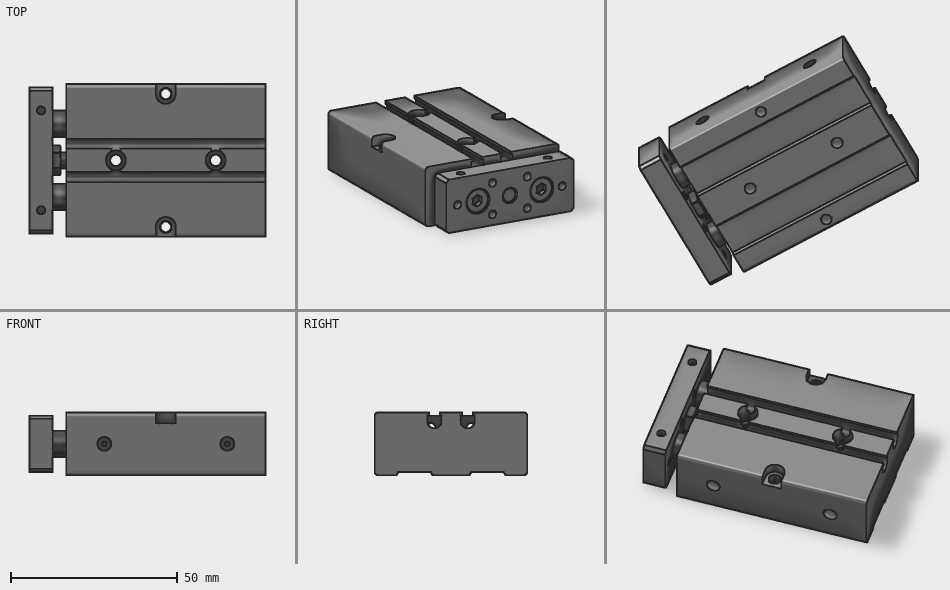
import cadquery as cq
import math


plate_thickness = 7.0
plate_width = 44.0
plate_height = 17.0
plate_chamfer = 1.0
stroke_gap = 4.0

housing_length = 60.0
housing_width = 46.0
housing_height = 19.0
housing_edge_radius = 1.2

housing_start = plate_thickness + stroke_gap
housing_middle = housing_start + housing_length / 2
axis_height = housing_height / 2
half_width = housing_width / 2

slot_offset = 5.0
slot_mouth_width = 3.15
slot_lip_height = 0.9
slot_width = 4.2
slot_wall_depth = 2.3
slot_depth = 4.8

channel_depth = 1.0
channel_inner_edge = 5.5
channel_outer_edge = 16.4
channel_side_run = 0.6

counterbore_diameter = 6.0
center_hole_diameter = 3.4
center_counterbore_depth = 7.0
center_hole_spacing = 30.0
center_notch_width = 2.6
side_hole_diameter = 3.2
side_hole_upper_diameter = 3.7
side_counterbore_depth = 3.3
side_hole_offset = 20.0

port_offset = 11.5
port_diameter = 4.2
port_depth = 4.0
port_passage_diameter = 1.5
port_passage_depth = 6.0

guide_rod_diameter = 8.0
guide_rod_offset = 11.0
piston_rod_diameter = 5.0
nut_across_flats = 8.0
nut_turned_diameter = 9.1
nut_thickness = 2.4
nut_chamfer_length = 0.35

rod_end_recess_depth = 0.4
hex_socket_corner_diameter = 3.7
hex_socket_depth = 2.0
tap_diameter = 2.5
face_tap_y = 6.0
face_tap_z = 5.0
end_tap_y = 18.0
top_tap_y = 15.0
top_tap_depth = 5.0


def cylinder_along_x(diameter, length, start_x, center_y, center_z):
    """Solid cylinder running towards +X from start_x."""
    return (
        cq.Workplane("YZ", origin=(start_x, center_y, center_z))
        .circle(diameter / 2)
        .extrude(length)
    )


def cylinder_down(diameter, depth, center_x, center_y, top_z):
    """Solid cylinder running towards -Z from top_z."""
    return (
        cq.Workplane("XY", origin=(center_x, center_y, top_z))
        .circle(diameter / 2)
        .extrude(-depth)
    )


def hexagon_along_x(corner_diameter, length, start_x, center_y, corner_angle):
    """Hexagonal prism on the rod axis height; corner_angle is measured from +Y."""
    radius = corner_diameter / 2
    corners = []
    for index in range(6):
        angle = math.radians(corner_angle + 60 * index)
        corners.append((radius * math.cos(angle), radius * math.sin(angle)))
    return (
        cq.Workplane("YZ", origin=(start_x, center_y, axis_height))
        .polyline(corners)
        .close()
        .extrude(length)
    )



def sensor_slot(center_y):
    """Lipped slot with a rounded floor, running the full length of the housing."""
    half_mouth = slot_mouth_width / 2
    half_slot = slot_width / 2
    return (
        cq.Workplane("YZ", origin=(housing_start, center_y, housing_height))
        .moveTo(-half_mouth, 0)
        .lineTo(-half_mouth, -slot_lip_height)
        .lineTo(-half_slot, -slot_lip_height)
        .lineTo(-half_slot, -slot_wall_depth)
        .threePointArc((0, -slot_depth), (half_slot, -slot_wall_depth))
        .lineTo(half_slot, -slot_lip_height)
        .lineTo(half_mouth, -slot_lip_height)
        .lineTo(half_mouth, 0)
        .close()
        .extrude(housing_length)
    )


def bottom_channel(side):
    """Shallow channel with sloping sides; side is +1 or -1 along Y."""
    return (
        cq.Workplane("YZ", origin=(housing_start, 0, 0))
        .moveTo(side * channel_inner_edge, 0)
        .lineTo(side * (channel_inner_edge + channel_side_run), channel_depth)
        .lineTo(side * (channel_outer_edge - channel_side_run), channel_depth)
        .lineTo(side * channel_outer_edge, 0)
        .close()
        .extrude(housing_length)
    )


def counterbored_hole(hole_diameter, counterbore_depth, center_x, center_y):
    """Through hole with a flat counterbore at the housing top."""
    hole = cylinder_down(hole_diameter, housing_height, center_x, center_y, housing_height)
    counterbore = cylinder_down(
        counterbore_diameter, counterbore_depth, center_x, center_y, housing_height
    )
    return hole.union(counterbore)


def center_hole(center_x):
    """Counterbored hole on the center line, with a notch through the slot lips beside it."""
    hole = counterbored_hole(center_hole_diameter, center_counterbore_depth, center_x, 0)
    notch_length = 2 * slot_offset - slot_mouth_width
    notch = (
        cq.Workplane("XY", origin=(center_x, 0, housing_height))
        .rect(center_notch_width, notch_length)
        .extrude(-slot_wall_depth)
    )
    return hole.union(notch)


def side_hole(side):
    """Counterbored hole with a slightly wider upper half, open to the side of the housing."""
    center_y = side * side_hole_offset
    hole = counterbored_hole(side_hole_diameter, side_counterbore_depth, housing_middle, center_y)

    run_out = half_width - side_hole_offset
    opening = (
        cq.Workplane("XY", origin=(housing_middle, center_y + side * run_out / 2, housing_height))
        .rect(counterbore_diameter, run_out)
        .extrude(-side_counterbore_depth)
    )

    upper_bore = cylinder_down(
        side_hole_upper_diameter, housing_height / 2, housing_middle, center_y, housing_height
    )
    return hole.union(upper_bore).union(opening)


def air_port(center_x):
    """Port with a narrow passage at its floor, entering from the -Y side."""
    face = cq.Workplane("XZ", origin=(center_x, -half_width, axis_height))
    port = face.circle(port_diameter / 2).extrude(-port_depth)
    passage = face.circle(port_passage_diameter / 2).extrude(-port_passage_depth)
    return port.union(passage)


def make_housing():
    body = (
        cq.Workplane("YZ", origin=(housing_start, 0, axis_height))
        .rect(housing_width, housing_height)
        .extrude(housing_length)
        .edges("|X")
        .fillet(housing_edge_radius)
    )
    for side in (-1, 1):
        body = body.cut(sensor_slot(side * slot_offset))
        body = body.cut(bottom_channel(side))
        body = body.cut(side_hole(side))
        body = body.cut(center_hole(housing_middle + side * center_hole_spacing / 2))
    for port_x in (housing_start + port_offset, housing_start + housing_length - port_offset):
        body = body.cut(air_port(port_x))
    return body



def rod_end_recess(diameter, center_y):
    """Shallow 45 degree conical recess marking a rod end in the plate's outer face."""
    cone = cq.Solid.makeCone(
        diameter / 2,
        diameter / 2 - rod_end_recess_depth,
        rod_end_recess_depth,
        pnt=cq.Vector(0, center_y, axis_height),
        dir=cq.Vector(1, 0, 0),
    )
    return cq.Workplane(obj=cone)


def lock_nut():
    """Hexagonal nut with turned-down corners, chamfered on the housing side."""
    corner_diameter = nut_across_flats / math.cos(math.radians(30))
    hexagon = hexagon_along_x(corner_diameter, nut_thickness, plate_thickness, 0, 0)
    turned_blank = (
        cylinder_along_x(nut_turned_diameter, nut_thickness, plate_thickness, 0, axis_height)
        .faces(">X")
        .chamfer(nut_chamfer_length, (nut_turned_diameter - nut_across_flats) / 2)
    )
    return hexagon.intersect(turned_blank)


def make_moving_end():
    body = (
        cq.Workplane("YZ", origin=(0, 0, axis_height))
        .rect(plate_width, plate_height)
        .extrude(plate_thickness)
        .edges("|X")
        .chamfer(plate_chamfer)
    )
    plate_top = axis_height + plate_height / 2

    body = body.union(
        cylinder_along_x(piston_rod_diameter, stroke_gap, plate_thickness, 0, axis_height)
    )
    body = body.union(lock_nut())
    body = body.cut(rod_end_recess(piston_rod_diameter, 0))

    for side in (-1, 1):
        rod_y = side * guide_rod_offset
        body = body.union(
            cylinder_along_x(guide_rod_diameter, stroke_gap, plate_thickness, rod_y, axis_height)
        )
        body = body.cut(rod_end_recess(guide_rod_diameter, rod_y))
        body = body.cut(
            hexagon_along_x(
                hex_socket_corner_diameter, hex_socket_depth, rod_end_recess_depth, rod_y, 90
            )
        )
        tap_places = [
            (side * face_tap_y, axis_height + face_tap_z),
            (side * face_tap_y, axis_height - face_tap_z),
            (side * end_tap_y, axis_height),
        ]
        for tap_y, tap_z in tap_places:
            body = body.cut(cylinder_along_x(tap_diameter, plate_thickness, 0, tap_y, tap_z))
        body = body.cut(
            cylinder_down(
                tap_diameter, top_tap_depth, plate_thickness / 2, side * top_tap_y, plate_top
            )
        )
    return body


housing = make_housing()
moving_end = make_moving_end()

result = cq.Compound.makeCompound([housing.solids().val(), moving_end.solids().val()])